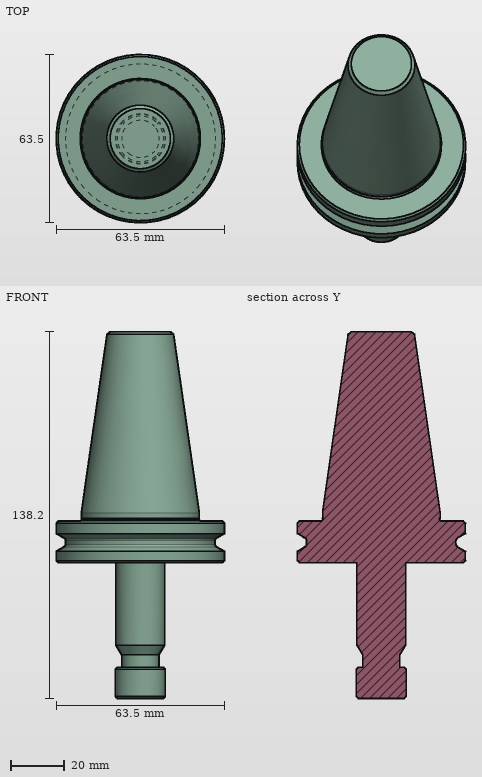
import cadquery as cq
import math

total_height = 138.2
flange_bottom = 51.2
flange_top = 66.9
gauge_height = 70.1
gauge_band_bottom = 68.0
relief_height = 67.6
shank_cone_top = 20.2
shank_cone_bottom = 16.5
head_top = 11.9

flange_diameter = 63.5
groove_diameter = 56.4
gauge_diameter = 44.5
relief_diameter = 43.7
taper_foot_diameter = 45.3
taper_top_diameter = 24.9
shank_diameter = 18.5
shank_neck_diameter = 14.1
head_diameter = 19.0

groove_floor_bottom = 57.5
groove_floor_top = 60.1
groove_wall_angle = math.radians(30)
groove_fillet = 1.0
rim_chamfer = 0.8
taper_chamfer = 1.1
head_chamfer = 0.8

flange_radius = flange_diameter / 2
groove_radius = groove_diameter / 2
groove_wall_height = (flange_radius - groove_radius) * math.tan(groove_wall_angle)


def cylinder(diameter, bottom, top):
    return cq.Workplane("XY").workplane(offset=bottom).circle(diameter / 2).extrude(top - bottom)


def cone(bottom_diameter, top_diameter, bottom, top):
    profile = [(0, bottom), (bottom_diameter / 2, bottom), (top_diameter / 2, top), (0, top)]
    return cq.Workplane("XZ").polyline(profile).close().revolve(360, (0, 0, 0), (0, 1, 0))


def make_taper():
    taper = cone(gauge_diameter, taper_top_diameter, gauge_height, total_height)
    taper = taper.faces(">Z").chamfer(taper_chamfer)
    gauge_band = cylinder(gauge_diameter, gauge_band_bottom, gauge_height)
    relief = cone(relief_diameter, gauge_diameter, relief_height, gauge_band_bottom)
    foot = cone(taper_foot_diameter, relief_diameter, flange_top, relief_height)
    return taper.union(gauge_band).union(relief).union(foot)


def make_flange():
    flange = cylinder(flange_diameter, flange_bottom, flange_top).edges().chamfer(rim_chamfer)
    groove_profile = [
        (groove_radius, groove_floor_bottom),
        (flange_radius, groove_floor_bottom - groove_wall_height),
        (flange_radius, groove_floor_top + groove_wall_height),
        (groove_radius, groove_floor_top),
    ]
    groove = cq.Workplane("XZ").polyline(groove_profile).close().revolve(360, (0, 0, 0), (0, 1, 0))
    floor_edges = groove.edges("%CIRCLE").edges(cq.selectors.RadiusNthSelector(0))
    return flange.cut(floor_edges.fillet(groove_fillet))


def make_shank():
    head = cylinder(head_diameter, 0, head_top).edges().chamfer(head_chamfer)
    neck = cylinder(shank_neck_diameter, head_top, shank_cone_bottom)
    shoulder = cone(shank_neck_diameter, shank_diameter, shank_cone_bottom, shank_cone_top)
    body = cylinder(shank_diameter, shank_cone_top, flange_bottom)
    return head.union(neck).union(shoulder).union(body)


result = make_flange().union(make_taper()).union(make_shank())